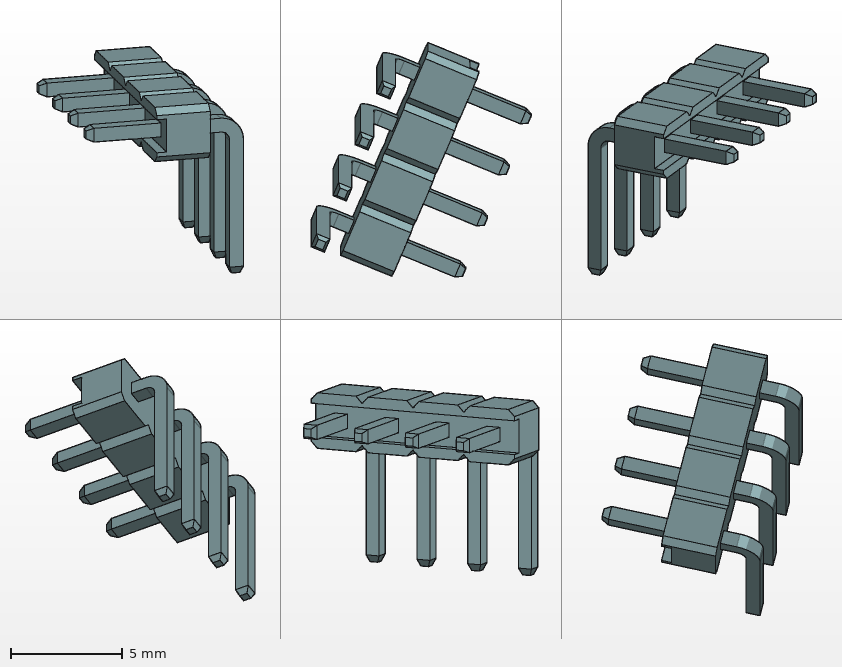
import cadquery as cq
import math


pin_count = 4
pitch = 2.54
row_length = pin_count * pitch
housing_height = 2.54
housing_depth = 2.5
corner_chamfer = 0.3
lip_thickness = 0.5
recess_depth = 0.46

pin_width = 0.65
pin_front_reach = 3.0
pin_back_reach = 1.83
pin_drop = 5.73
bend_outer_radius = 1.08
bend_inner_radius = bend_outer_radius - pin_width
tip_length = 0.33
tip_end_width = 0.38
tip_taper = math.degrees(math.atan((pin_width - tip_end_width) / 2 / tip_length))

front_end = -pin_front_reach
back_face = housing_depth + pin_back_reach
bottom_end = -housing_height / 2 - pin_drop


def housing_cell(x_center):
    """One chamfered segment; neighbours meet at V notches."""
    return (
        cq.Workplane("XY")
        .box(pitch, housing_depth, housing_height, centered=(True, False, True))
        .edges("|Y")
        .chamfer(corner_chamfer)
        .translate((x_center, 0, 0))
    )


def front_recess():
    """Channel along the whole front face, leaving a lip above and below."""
    recess_height = housing_height - 2 * lip_thickness
    return cq.Workplane("XY").box(
        row_length, recess_depth, recess_height, centered=(True, False, True)
    )


def pin_tip(base_plane):
    """Square pyramid frustum growing along the plane normal."""
    return cq.Workplane(base_plane).rect(pin_width, pin_width).extrude(tip_length, taper=tip_taper)


def bent_pin(x_center):
    """Square pin that runs back through the housing and then bends straight down."""
    half = pin_width / 2
    bend_y = back_face - bend_outer_radius
    bend_z = half - bend_outer_radius
    diagonal = math.sqrt(0.5)
    outer_mid = (bend_y + bend_outer_radius * diagonal, bend_z + bend_outer_radius * diagonal)
    inner_mid = (bend_y + bend_inner_radius * diagonal, bend_z + bend_inner_radius * diagonal)
    front_tip_base = front_end + tip_length
    bottom_tip_base = bottom_end + tip_length

    shank = (
        cq.Workplane("YZ")
        .moveTo(front_tip_base, half)
        .lineTo(bend_y, half)
        .threePointArc(outer_mid, (back_face, bend_z))
        .lineTo(back_face, bottom_tip_base)
        .lineTo(back_face - pin_width, bottom_tip_base)
        .lineTo(back_face - pin_width, bend_z)
        .threePointArc(inner_mid, (bend_y, -half))
        .lineTo(front_tip_base, -half)
        .close()
        .extrude(half, both=True)
    )
    front_plane = cq.Plane(origin=(0, front_tip_base, 0), xDir=(1, 0, 0), normal=(0, -1, 0))
    bottom_plane = cq.Plane(
        origin=(0, back_face - half, bottom_tip_base), xDir=(1, 0, 0), normal=(0, 0, -1)
    )
    pin = shank.union(pin_tip(front_plane)).union(pin_tip(bottom_plane))
    return pin.translate((x_center, 0, 0))


pin_positions = [(index - (pin_count - 1) / 2) * pitch for index in range(pin_count)]

result = housing_cell(pin_positions[0])
for x_position in pin_positions[1:]:
    result = result.union(housing_cell(x_position))
result = result.cut(front_recess())
for x_position in pin_positions:
    result = result.union(bent_pin(x_position))